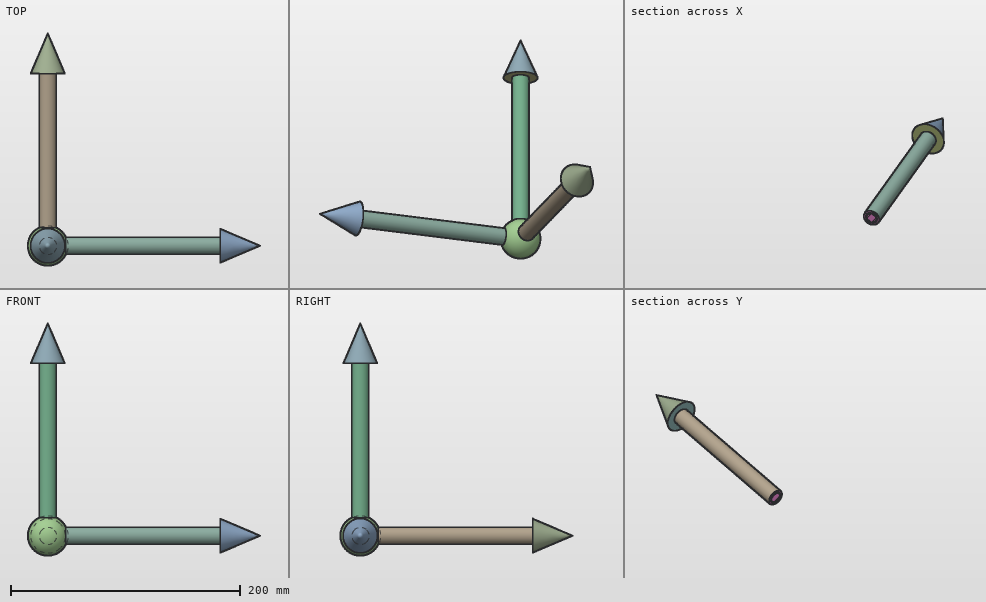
import math

import cadquery as cq

OVERALL_SIZE = 202.5
BALL_DIAMETER = 35.0
SHAFT_DIAMETER = 15.0
HEAD_DIAMETER = 2 * SHAFT_DIAMETER
HEAD_LENGTH = BALL_DIAMETER

BALL_RADIUS = BALL_DIAMETER / 2
SHAFT_RADIUS = SHAFT_DIAMETER / 2
HEAD_RADIUS = HEAD_DIAMETER / 2

TIP_DISTANCE = OVERALL_SIZE - BALL_RADIUS
HEAD_BASE_DISTANCE = TIP_DISTANCE - HEAD_LENGTH
SHAFT_RIM_DISTANCE = math.sqrt(BALL_RADIUS**2 - SHAFT_RADIUS**2)

ARROW_TURNS = [
    ((0, 1, 0), 90),
    ((1, 0, 0), -90),
    ((0, 0, 1), 0),
]


def make_ball():
    """Solid ball centred on the origin, where the arrow axes meet."""
    return cq.Workplane("XY").sphere(BALL_RADIUS)


def make_arrow(turn_axis, turn_angle):
    """Shaft with a conical head; its inner end is hollowed to seat on the ball."""
    rim_angle = math.asin(SHAFT_RADIUS / BALL_RADIUS)
    seat_middle = (
        BALL_RADIUS * math.sin(rim_angle / 2),
        BALL_RADIUS * math.cos(rim_angle / 2),
    )
    half_outline = (
        cq.Workplane("XZ")
        .moveTo(0, BALL_RADIUS)
        .threePointArc(seat_middle, (SHAFT_RADIUS, SHAFT_RIM_DISTANCE))
        .lineTo(SHAFT_RADIUS, HEAD_BASE_DISTANCE)
        .lineTo(HEAD_RADIUS, HEAD_BASE_DISTANCE)
        .lineTo(0, TIP_DISTANCE)
        .close()
    )
    upright_arrow = half_outline.revolve(360, (0, 0), (0, 1))
    return upright_arrow.rotate((0, 0, 0), turn_axis, turn_angle)


ball = make_ball()
arrows = [make_arrow(axis, angle) for axis, angle in ARROW_TURNS]

result = cq.Compound.makeCompound([ball.val(), *[arrow.val() for arrow in arrows]])